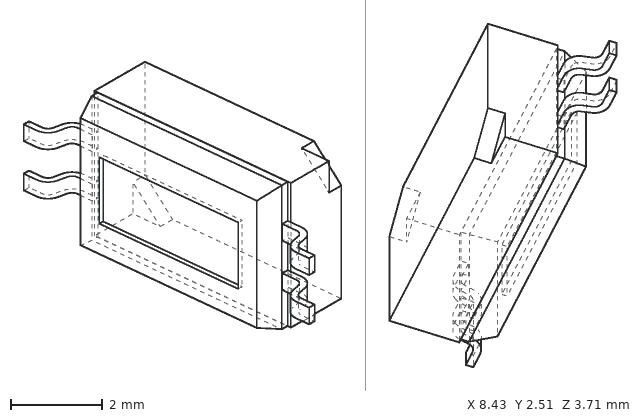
import cadquery as cq
import math

overall_length = 8.43
overall_depth = 2.51

rear_length = 5.8
rear_height = 3.71
rear_depth = 1.65
corner_cut = 0.81
corner_cut_depth = 0.405

rim_length = 5.615
rim_height = 3.69
rim_depth = 0.19
nose_length = 5.21
nose_height = 3.26
foot_standoff = 0.08
recess_length = 4.1
recess_height = 1.7
recess_depth = 0.13

lead_thickness = 0.18
lead_width = 0.43
lead_pitch = 1.265
foot_length = 0.39
bend_angle = math.radians(78)
inner_radius = 0.19
outer_radius = inner_radius + lead_thickness

parting_y = overall_depth - rear_depth
rim_front_y = parting_y - rim_depth
nose_depth = rim_front_y - foot_standoff
lead_drop = parting_y - lead_thickness


def make_rear_housing():
    """Block with two diagonally opposite corners cut away at its back."""
    block = cq.Workplane("XY").box(rear_length, rear_depth, rear_height)
    block = block.translate((0, parting_y + rear_depth / 2, 0))
    for side in (-1, 1):
        corner_x = side * rear_length / 2
        corner_z = side * rear_height / 2
        wedge = (
            cq.Workplane("XZ", origin=(0, overall_depth, 0))
            .moveTo(corner_x, corner_z)
            .lineTo(corner_x - side * corner_cut, corner_z)
            .lineTo(corner_x, corner_z - side * corner_cut)
            .close()
            .extrude(corner_cut_depth)
        )
        block = block.cut(wedge)
    return block


def make_front_housing():
    """Rim, tapered nose and recessed front panel as one solid."""
    rim = (
        cq.Workplane("XZ", origin=(0, parting_y, 0))
        .rect(rim_length, rim_height)
        .extrude(rim_depth)
    )
    nose = (
        cq.Workplane("XZ", origin=(0, rim_front_y, 0))
        .rect(rim_length, rim_height)
        .workplane(offset=nose_depth)
        .rect(nose_length, nose_height)
        .loft(ruled=True)
    )
    recess = (
        cq.Workplane("XZ", origin=(0, foot_standoff + recess_depth, 0))
        .rect(recess_length, recess_height)
        .extrude(recess_depth)
    )
    return rim.union(nose).cut(recess)


def make_right_lead(center_z):
    """Gull-wing lead that starts at the +X side of the rim and ends in a foot."""
    bend_drop = (inner_radius + outer_radius) * (1 - math.cos(bend_angle))
    web_length = (lead_drop - bend_drop) / math.sin(bend_angle)
    bend_span = (inner_radius + outer_radius) * math.sin(bend_angle) + web_length * math.cos(bend_angle)

    start_x = rim_length / 2
    end_x = overall_length / 2
    foot_x = end_x - foot_length
    shoulder_x = foot_x - bend_span
    shoulder_center_y = parting_y - outer_radius
    foot_center_y = outer_radius

    def shoulder_point(radius, angle):
        return (shoulder_x + radius * math.sin(angle), shoulder_center_y + radius * math.cos(angle))

    def foot_point(radius, angle):
        return (foot_x - radius * math.sin(angle), foot_center_y - radius * math.cos(angle))

    half_angle = bend_angle / 2
    return (
        cq.Workplane("XY", origin=(0, 0, center_z - lead_width / 2))
        .moveTo(start_x, parting_y)
        .lineTo(shoulder_x, parting_y)
        .threePointArc(shoulder_point(outer_radius, half_angle), shoulder_point(outer_radius, bend_angle))
        .lineTo(*foot_point(inner_radius, bend_angle))
        .threePointArc(foot_point(inner_radius, half_angle), (foot_x, lead_thickness))
        .lineTo(end_x, lead_thickness)
        .lineTo(end_x, 0)
        .lineTo(foot_x, 0)
        .threePointArc(foot_point(outer_radius, half_angle), foot_point(outer_radius, bend_angle))
        .lineTo(*shoulder_point(inner_radius, bend_angle))
        .threePointArc(
            shoulder_point(inner_radius, half_angle),
            (shoulder_x, parting_y - lead_thickness),
        )
        .lineTo(start_x, parting_y - lead_thickness)
        .close()
        .extrude(lead_width)
    )


rear_housing = make_rear_housing()
front_housing = make_front_housing()

leads = []
for lead_z in (-lead_pitch / 2, lead_pitch / 2):
    right_lead = make_right_lead(lead_z)
    left_lead = right_lead.mirror("YZ")
    leads.append(right_lead.val())
    leads.append(left_lead.val())

result = cq.Compound.makeCompound([rear_housing.val(), front_housing.val(), *leads])